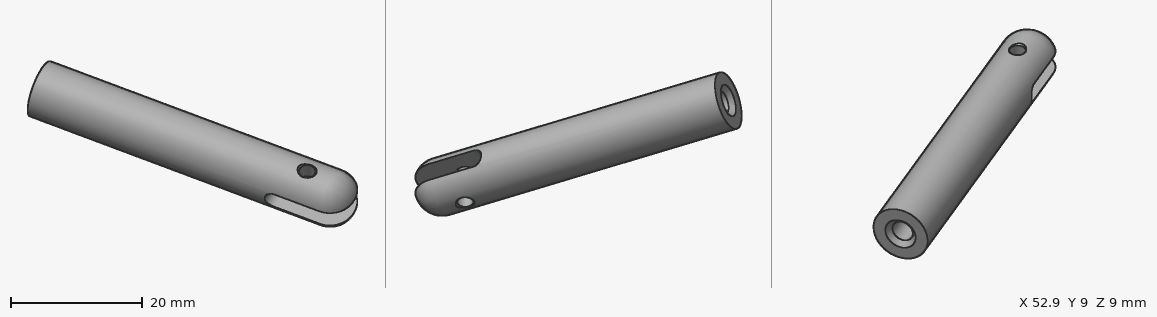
import cadquery as cq
import math

length = 52.85
diameter = 9.0
radius = diameter / 2
nose_radius = 4.0

slot_width = 3.0
slot_start = 39.9

tip_flat_radius = radius - nose_radius
tip_rise = slot_width / 2 - tip_flat_radius
uncut_length = length + nose_radius - math.sqrt(nose_radius**2 - tip_rise**2)

pin_hole_diameter = 2.5
pin_hole_chamfer = 0.25
pin_hole_x = 44.95

bore_diameter = 3.4
bore_mouth_diameter = 5.0
bore_depth = 13.2


def make_rod():
    rod = cq.Workplane("YZ").circle(radius).extrude(uncut_length)
    return rod.faces(">X").edges().fillet(nose_radius)


def make_fork_slot():
    slot_end_x = slot_start + slot_width / 2
    straight_length = uncut_length - slot_end_x
    straight = (
        cq.Workplane("XY")
        .box(straight_length, diameter, slot_width, centered=(False, True, True))
        .translate((slot_end_x, 0, 0))
    )
    round_end = (
        cq.Workplane("XZ")
        .center(slot_end_x, 0)
        .circle(slot_width / 2)
        .extrude(radius, both=True)
    )
    return straight.union(round_end)


def make_bore():
    bore_radius = bore_diameter / 2
    mouth_radius = bore_mouth_diameter / 2
    return (
        cq.Workplane("XY")
        .lineTo(0, mouth_radius)
        .lineTo(mouth_radius - bore_radius, bore_radius)
        .lineTo(bore_depth, bore_radius)
        .lineTo(bore_depth + bore_radius, 0)
        .close()
        .revolve(360, (0, 0, 0), (1, 0, 0))
    )


def make_pin_hole():
    hole_radius = pin_hole_diameter / 2
    flared_radius = hole_radius + pin_hole_chamfer
    flare_start = radius - pin_hole_chamfer
    return (
        cq.Workplane("XZ")
        .moveTo(0, -radius)
        .lineTo(flared_radius, -radius)
        .lineTo(hole_radius, -flare_start)
        .lineTo(hole_radius, flare_start)
        .lineTo(flared_radius, radius)
        .lineTo(0, radius)
        .close()
        .revolve(360, (0, 0, 0), (0, 1, 0))
        .translate((pin_hole_x, 0, 0))
    )


result = make_rod().cut(make_fork_slot()).cut(make_bore()).cut(make_pin_hole())